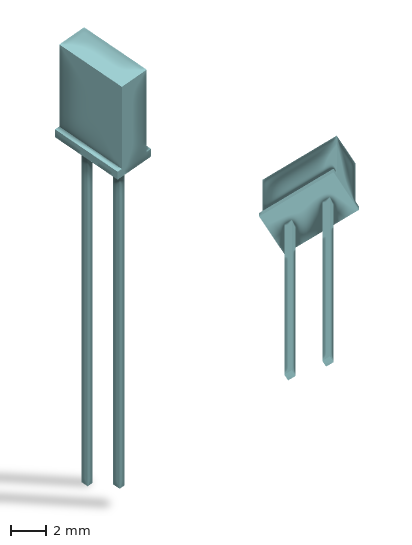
import cadquery as cq

width = 5.0
total_height = 34.0

head_depth = 2.0
head_height = 7.0
flange_depth = 2.7
flange_height = 0.6

lead_width = 0.5
lead_depth = 0.4
lead_pitch = 2.55
long_lead = total_height - head_height
lead_difference = 1.5
short_lead = long_lead - lead_difference


def upright_block(size_x, size_y, height):
    """Block centred on the Z axis, standing on Z = 0."""
    return cq.Workplane("XY").box(size_x, size_y, height, centered=(True, True, False))


def lead(center_x, length):
    """Lead hanging down from the underside of the flange at Z = 0."""
    return upright_block(lead_width, lead_depth, length).translate((center_x, 0, -length))


head = upright_block(width, head_depth, head_height)
flange = upright_block(width, flange_depth, flange_height)

result = (
    head.union(flange)
    .union(lead(-lead_pitch / 2, long_lead))
    .union(lead(lead_pitch / 2, short_lead))
)